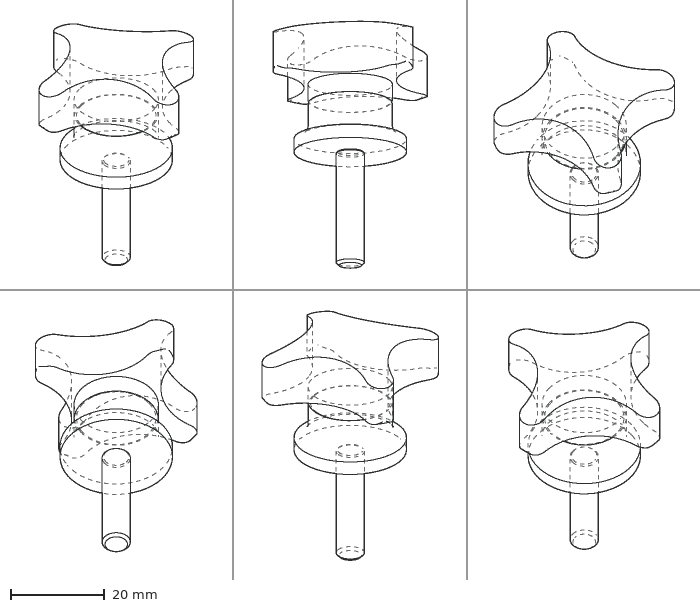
import cadquery as cq
import math

total_height = 52.0
head_bottom = 40.0
head_rim_top = 48.6
flange_bottom = 25.0
flange_top = 28.0

head_diameter = 40.0
lobe_radius = 3.0
lobe_count = 4
rim_rounding = 1.0

collar_diameter = 18.0
flange_diameter = 24.0
groove_height = 36.1
groove_rounding = 0.5

stud_diameter = 6.05
stud_chamfer = 0.6
stud_top_chamfer = 0.3

head_radius = head_diameter / 2
collar_radius = collar_diameter / 2
flange_radius = flange_diameter / 2
stud_radius = stud_diameter / 2


def polar(radius, angle):
    return (radius * math.cos(angle), radius * math.sin(angle))


def lobed_prism():
    """Rounded lobes joined by tangent concave arcs, extruded through the head height."""
    lobe_center = head_radius - lobe_radius
    valley_depth = math.sqrt(2) * lobe_center - (lobe_center - lobe_radius)
    pitch = 2 * math.pi / lobe_count
    lobe_end_distance = math.hypot(lobe_center, lobe_radius)
    lobe_end_angle = math.atan2(lobe_radius, lobe_center)

    outline = cq.Workplane("XY").workplane(offset=head_bottom)
    outline = outline.moveTo(*polar(lobe_end_distance, -lobe_end_angle))
    for index in range(lobe_count):
        angle = index * pitch
        outline = outline.threePointArc(
            polar(head_radius, angle), polar(lobe_end_distance, angle + lobe_end_angle)
        )
        outline = outline.threePointArc(
            polar(valley_depth, angle + pitch / 2),
            polar(lobe_end_distance, angle + pitch - lobe_end_angle),
        )
    return outline.close().extrude(total_height - head_bottom)


def domed_disc():
    """Disc with a spherical top and a rounded lower rim."""
    dome_rise = total_height - head_rim_top
    dome_radius = (head_radius**2 + dome_rise**2) / (2 * dome_rise)
    middle_radius = head_radius / 2
    middle_height = total_height - dome_radius + math.sqrt(dome_radius**2 - middle_radius**2)
    return (
        cq.Workplane("XZ")
        .moveTo(0, head_bottom)
        .lineTo(head_radius - rim_rounding, head_bottom)
        .radiusArc((head_radius, head_bottom + rim_rounding), -rim_rounding)
        .lineTo(head_radius, head_rim_top)
        .threePointArc((middle_radius, middle_height), (0, total_height))
        .close()
        .revolve(360, (0, 0, 0), (0, 1, 0))
    )


def collar():
    """Collar grooved between two rounded edges, flaring through a concave arc into its flange."""
    flare_radius = flange_radius - collar_radius
    groove_root = collar_radius - groove_rounding
    return (
        cq.Workplane("XZ")
        .moveTo(0, flange_bottom)
        .lineTo(flange_radius, flange_bottom)
        .lineTo(flange_radius, flange_top)
        .radiusArc((collar_radius, flange_top + flare_radius), flare_radius)
        .lineTo(collar_radius, groove_height - groove_rounding)
        .radiusArc((groove_root, groove_height), -groove_rounding)
        .radiusArc((collar_radius, groove_height + groove_rounding), -groove_rounding)
        .lineTo(collar_radius, head_bottom)
        .lineTo(0, head_bottom)
        .close()
        .revolve(360, (0, 0, 0), (0, 1, 0))
    )


def stud():
    """Plain pin with a chamfered tip and a small chamfer where it meets the flange."""
    pin = cq.Workplane("XY").circle(stud_radius).extrude(flange_bottom)
    return pin.faces("<Z").chamfer(stud_chamfer).faces(">Z").chamfer(stud_top_chamfer)


head = lobed_prism().intersect(domed_disc())
result = head.union(collar()).union(stud())